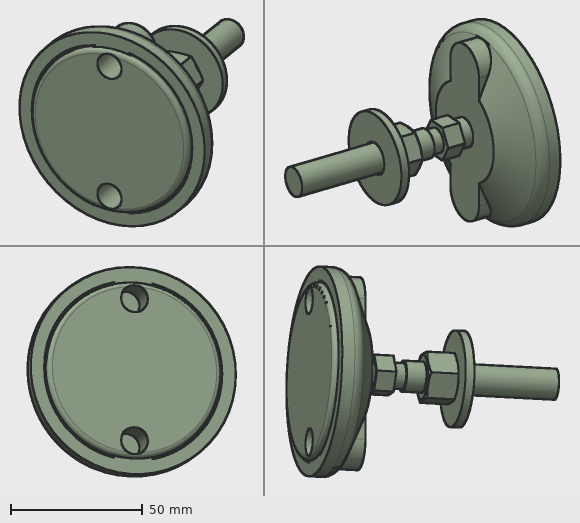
import cadquery as cq
import math

TOTAL_LENGTH = 97.0
SOLE_Y = -TOTAL_LENGTH / 2
STUD_END_Y = TOTAL_LENGTH / 2

BASE_DIAMETER = 80.0
BASE_HEIGHT = 19.5
SOLE_HEIGHT = 2.0
RIM_TOP_HEIGHT = 7.0
SHOULDER_HEIGHT = 11.35
SHOULDER_RADIUS = 37.2
CROWN_RADIUS = 20.3
SOLE_DIAMETER = 68.0
GROOVE_DIAMETER = 69.4
GROOVE_DEPTH = 1.0
SOLE_ROUND = 1.9
BASE_TOP_Y = SOLE_Y + BASE_HEIGHT

LUG_RADIUS = 10.0
LUG_OFFSET = 27.3
LUG_BOTTOM_Y = SOLE_Y + SOLE_HEIGHT
HOLE_DIAMETER = 10.4
HOLE_OFFSET = 27.45
HOLE_DEPTH = 14.55

SHANK_DIAMETER = 11.9
NECK_DIAMETER = 10.0
WRENCH_FLATS = 14.0
WRENCH_BOTTOM_Y = -24.0
WRENCH_HEIGHT = 7.7
NECK_LENGTH = 4.8
WRENCH_TOP_Y = WRENCH_BOTTOM_Y + WRENCH_HEIGHT
NECK_TOP_Y = WRENCH_TOP_Y + NECK_LENGTH

NUT_FLATS = 17.9
NUT_HEIGHT = 12.0
NUT_BOTTOM_Y = -3.9
NUT_FACE_DIAMETER = 17.0
NUT_CHAMFER_ANGLE = 20.0
WASHER_DIAMETER = 37.0
WASHER_HOLE_DIAMETER = 13.0
WASHER_THICKNESS = 3.5
WASHER_BOTTOM_Y = NUT_BOTTOM_Y + NUT_HEIGHT


def plane_at(y):
    """Plane across the axis at height y, with X along X and normal +Y."""
    return cq.Workplane(cq.Plane(origin=(0, y, 0), xDir=(1, 0, 0), normal=(0, 1, 0)))


def cylinder(diameter, y, length):
    return plane_at(y).circle(diameter / 2).extrude(length)


def hexagon(across_flats, y, length):
    """Hexagonal prism with two corners on the X axis."""
    return plane_at(y).polygon(6, across_flats / math.cos(math.pi / 6)).extrude(length)


def lug(side):
    """Round-ended lug running from the axis out to one side along Z."""
    height = BASE_TOP_Y - LUG_BOTTOM_Y
    end = cylinder(2 * LUG_RADIUS, LUG_BOTTOM_Y, height).translate((0, 0, side * LUG_OFFSET))
    web = cq.Workplane("XY").box(2 * LUG_RADIUS, height, LUG_OFFSET)
    web_centre = (0, LUG_BOTTOM_Y + height / 2, side * LUG_OFFSET / 2)
    return end.union(web.translate(web_centre))


def make_base():
    rim_radius = BASE_DIAMETER / 2
    rim_bottom_y = SOLE_Y + SOLE_HEIGHT
    rim_top_y = SOLE_Y + RIM_TOP_HEIGHT
    shoulder_y = SOLE_Y + SHOULDER_HEIGHT
    body = (
        cq.Workplane("XY")
        .moveTo(0, rim_bottom_y)
        .lineTo(rim_radius, rim_bottom_y)
        .lineTo(rim_radius, rim_top_y)
        .tangentArcPoint((SHOULDER_RADIUS, shoulder_y), relative=False)
        .lineTo(CROWN_RADIUS, BASE_TOP_Y)
        .lineTo(0, BASE_TOP_Y)
        .close()
        .revolve(360, (0, 0, 0), (0, 1, 0))
    )
    groove = plane_at(rim_bottom_y).circle(GROOVE_DIAMETER / 2).circle(SOLE_DIAMETER / 2)
    body = body.cut(groove.extrude(GROOVE_DEPTH))
    sole = cylinder(SOLE_DIAMETER, SOLE_Y, SOLE_HEIGHT).faces("<Y").edges().fillet(SOLE_ROUND)
    body = body.union(sole)
    for side in (-1, 1):
        body = body.union(lug(side))
    for side in (-1, 1):
        hole = cylinder(HOLE_DIAMETER, SOLE_Y, HOLE_DEPTH)
        body = body.cut(hole.translate((0, 0, side * HOLE_OFFSET)))
    return body


def make_stud():
    stud = cylinder(SHANK_DIAMETER, BASE_TOP_Y, WRENCH_BOTTOM_Y - BASE_TOP_Y)
    stud = stud.union(hexagon(WRENCH_FLATS, WRENCH_BOTTOM_Y, WRENCH_HEIGHT))
    stud = stud.union(cylinder(NECK_DIAMETER, WRENCH_TOP_Y, NECK_LENGTH))
    return stud.union(cylinder(SHANK_DIAMETER, NECK_TOP_Y, STUD_END_Y - NECK_TOP_Y))


def make_nut():
    """Hexagon nut with conical corner chamfers on both ends."""
    corner_radius = NUT_FLATS / 2 / math.cos(math.pi / 6)
    face_radius = NUT_FACE_DIAMETER / 2
    drop = (corner_radius - face_radius) * math.tan(math.radians(NUT_CHAMFER_ANGLE))
    top_y = NUT_BOTTOM_Y + NUT_HEIGHT
    envelope = (
        cq.Workplane("XY")
        .moveTo(0, NUT_BOTTOM_Y)
        .lineTo(face_radius, NUT_BOTTOM_Y)
        .lineTo(corner_radius, NUT_BOTTOM_Y + drop)
        .lineTo(corner_radius, top_y - drop)
        .lineTo(face_radius, top_y)
        .lineTo(0, top_y)
        .close()
        .revolve(360, (0, 0, 0), (0, 1, 0))
    )
    nut = hexagon(NUT_FLATS, NUT_BOTTOM_Y, NUT_HEIGHT).intersect(envelope)
    return nut.cut(cylinder(SHANK_DIAMETER, NUT_BOTTOM_Y, NUT_HEIGHT))


def make_washer():
    washer = cylinder(WASHER_DIAMETER, WASHER_BOTTOM_Y, WASHER_THICKNESS)
    return washer.cut(cylinder(WASHER_HOLE_DIAMETER, WASHER_BOTTOM_Y, WASHER_THICKNESS))


base = make_base()
stud = make_stud()
nut = make_nut()
washer = make_washer()

result = cq.Compound.makeCompound([base.val(), stud.val(), nut.val(), washer.val()])